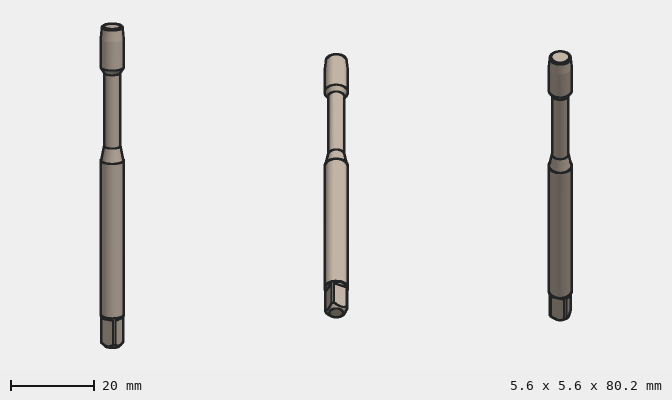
import cadquery as cq

length = 80.2
body_diameter = 5.6
neck_diameter = 3.9
collar_diameter = 4.1
shank_cone_diameter = 5.4
tip_diameter = 4.3
lead_diameter = 5.05

shank_bottom = 7.8
shank_top = 46.5
neck_bottom = 50.1
neck_top = 68.5
head_bottom = 69.9
lead_bottom = 77.0
tip_chamfer_height = 0.3
collar_step_height = 0.25

square_width = 4.25
square_corner_diameter = 5.4
point_diameter = 3.3
point_height = (square_corner_diameter - point_diameter) / 2
flat_top = 7.1
runout_angle = 45


def revolve_profile(steps):
    """Revolve (diameter, height) steps around Z into a solid."""
    outline = [(diameter / 2, height) for diameter, height in steps]
    bottom = (0, steps[0][1])
    top = (0, steps[-1][1])
    return (
        cq.Workplane("XZ")
        .polyline([bottom] + outline + [top])
        .close()
        .revolve(360, (0, 0, 0), (0, 1, 0))
    )


def make_body():
    """Shank, neck and threaded head with its tapered lead."""
    return revolve_profile([
        (body_diameter, shank_bottom),
        (body_diameter, shank_top),
        (shank_cone_diameter, shank_top),
        (collar_diameter, neck_bottom - collar_step_height),
        (neck_diameter, neck_bottom),
        (neck_diameter, neck_top),
        (collar_diameter, neck_top + collar_step_height),
        (body_diameter, head_bottom),
        (body_diameter, lead_bottom),
        (lead_diameter, length - tip_chamfer_height),
        (tip_diameter, length),
    ])


def make_drive_square():
    """Round pointed end with four flats that run out towards the shank."""
    prism = cq.Workplane("XY").rect(square_width, square_width).extrude(flat_top)
    runout = (
        cq.Workplane("XY")
        .workplane(offset=flat_top)
        .rect(square_width, square_width)
        .extrude(shank_bottom - flat_top, taper=-runout_angle)
    )
    corner_envelope = revolve_profile([
        (point_diameter, 0),
        (square_corner_diameter, point_height),
        (square_corner_diameter, shank_bottom),
    ])
    return prism.union(runout).intersect(corner_envelope)


result = make_body().union(make_drive_square())